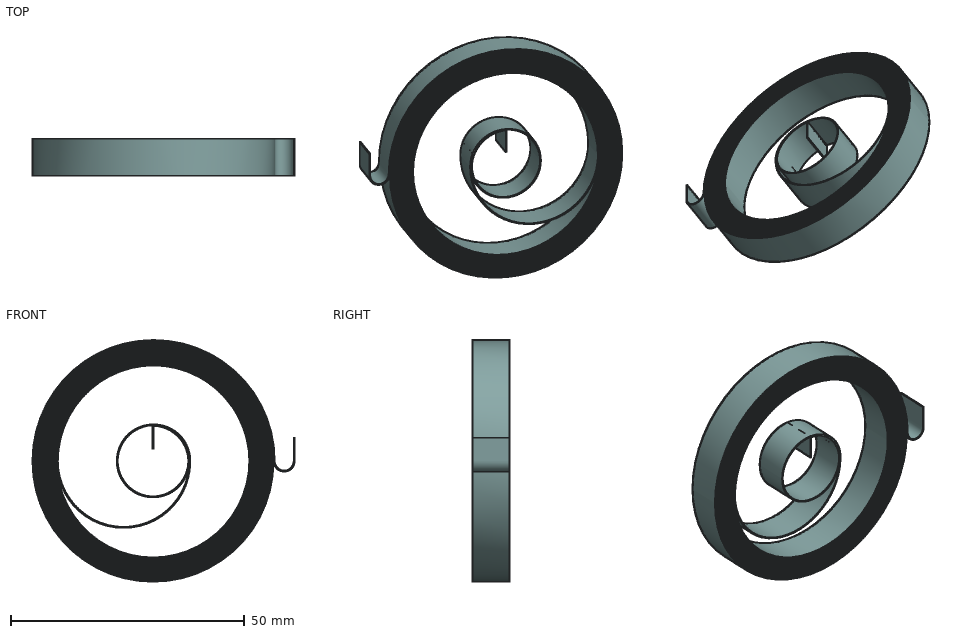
import cadquery as cq
import math

overall_length = 56.25
overall_height = 51.85
strip_width = 8.0
strip_thickness = 0.24
half_thickness = strip_thickness / 2

hub_bore = 15.1
hub_tab_end = 2.65
hub_radius = hub_bore / 2 + half_thickness

coil_count = 22
coil_bore = 41.0
pitches_in_growth = 2 * (coil_count - 1) - 1 / 2
coil_pitch = (overall_height - coil_bore - 2 * strip_thickness) / pitches_in_growth
coil_inner_radius = (coil_bore - coil_pitch) / 2 + half_thickness
coil_outer_radius = coil_inner_radius + (coil_count - 1) * coil_pitch

hook_end = 5.0
hook_x = overall_length - coil_outer_radius - strip_thickness


def crossing_places():
    """X of each place where the strip crosses Z = 0, from the hub out to the hook."""
    places = [-hub_radius, hub_radius + coil_pitch]
    for coil in range(coil_count):
        radius = coil_inner_radius + coil * coil_pitch
        places += [-radius, radius + coil_pitch]
    return places + [hook_x]


def add_half_turns(outline, places, first_side):
    """Join neighbouring places by semicircles, alternately above (+1) and below (-1) Z = 0."""
    side = first_side
    for start, end in zip(places, places[1:]):
        middle = ((start + end) / 2, side * abs(end - start) / 2)
        outline = outline.threePointArc(middle, (end, 0))
        side = -side
    return outline


def extrude_strip(outline):
    return outline.close().extrude(strip_width / 2, both=True)


def make_coils():
    """Second hub turn, crossover, coils and end hook as one strip."""
    left_edge = []
    right_edge = []
    heading = 1
    for x in crossing_places():
        left_edge.append(x - heading * half_thickness)
        right_edge.append(x + heading * half_thickness)
        heading = -heading

    outline = cq.Workplane("XZ").moveTo(left_edge[0], 0)
    outline = add_half_turns(outline, left_edge, 1)
    outline = outline.lineTo(left_edge[-1], hook_end)
    outline = outline.lineTo(right_edge[-1], hook_end)
    outline = outline.lineTo(right_edge[-1], 0)
    outline = add_half_turns(outline, right_edge[::-1], -1)
    return extrude_strip(outline)


def make_hub():
    """Straight tab bent sharply into the first three quarters of the hub turn."""
    outer = hub_radius + half_thickness
    inner = hub_radius - half_thickness
    outer_top = math.sqrt(outer**2 - half_thickness**2)
    inner_top = math.sqrt(inner**2 - half_thickness**2)
    diagonal = math.sqrt(0.5)

    outline = (
        cq.Workplane("XZ")
        .moveTo(-half_thickness, hub_tab_end)
        .lineTo(-half_thickness, outer_top)
        .threePointArc((outer * diagonal, -outer * diagonal), (-outer, 0))
        .lineTo(-inner, 0)
        .threePointArc((inner * diagonal, -inner * diagonal), (half_thickness, inner_top))
        .lineTo(half_thickness, hub_tab_end)
    )
    return extrude_strip(outline)


result = make_coils().union(make_hub())